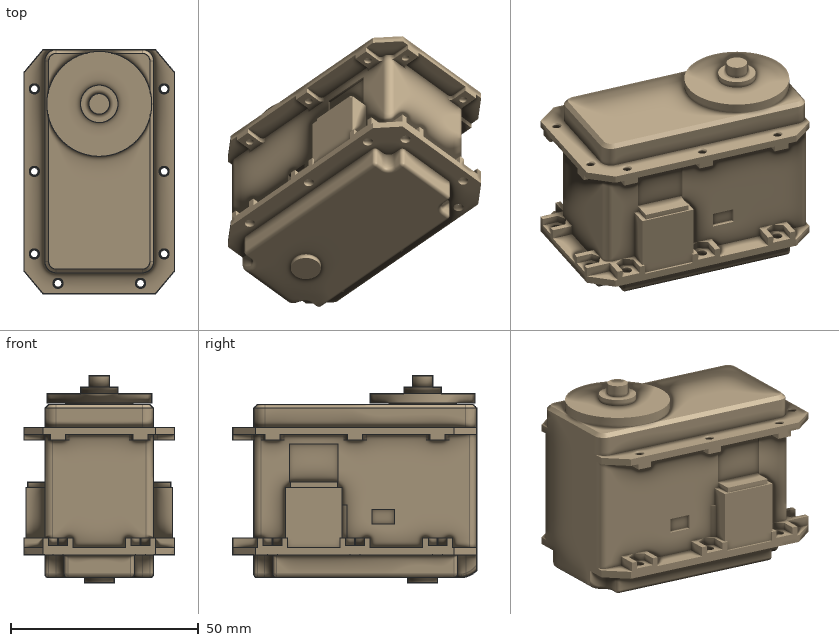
import cadquery as cq
import math


CASE_WIDTH = 29.0
CASE_BACK = 14.45
CASE_FRONT = -45.05
CASE_TOP = 46.2
BODY_CORNER_RADIUS = 2.0
LID_CORNER_RADIUS = 3.0
LID_CHAMFER = 1.0

FLANGE_WIDTH = 40.2
FLANGE_FRONT = -50.65
FLANGE_CHAMFER_X = 5.1
FLANGE_CHAMFER_Y = 6.1
LOWER_FLANGE_BOTTOM = 6.1
LOWER_FLANGE_TOP = 8.05
UPPER_FLANGE_BOTTOM = 38.2
UPPER_FLANGE_TOP = 40.1

SCREW_PITCH = 22.0
SCREW_EDGE_OFFSET = 2.8
FIRST_SIDE_SCREW_Y = 4.0
SIDE_SCREW_COUNT = 3
UPPER_HOLE_DIAMETER = 2.05
UPPER_COUNTERSINK_DIAMETER = 2.7
LOWER_HOLE_DIAMETER = 2.7

UPPER_PAD_WIDTH = 4.0
UPPER_PAD_BOTTOM = 36.7
UPPER_PAD_FILLET = 1.0
LOWER_PAD_WIDTH = 8.0
LOWER_PAD_TOP = 10.6
NUT_ACROSS_FLATS = 5.0
NUT_POCKET_FLOOR = 8.65

NOTCH_SIZE = 5.15
NOTCH_INNER_RADIUS = 2.2
NOTCH_OUTER_RADIUS = 1.0
COVER_EDGE_FILLET = 1.0
COVER_BACK_RADIUS = 6.3
COVER_BACK_START = 9.9

BOTTOM_BOSS = (8.0, -1.4, 0.0)
SHAFT_SEAT = (18.0, CASE_TOP, 46.55)
HORN_DISC = (28.0, 46.55, 49.1)
HORN_COLLAR = (10.0, 49.1, 50.8)
SHAFT_TIP = (5.5, 50.8, 53.9)

CONNECTOR_CENTER_Y = -29.0
CONNECTOR_LENGTH = 15.0
CONNECTOR_TOP = 24.1
CONNECTOR_HALF_SPAN = 19.55
INSERT_LENGTH = 12.5
INSERT_TOP = 25.5
INSERT_HALF_SPAN = 19.1
RAMP_LENGTH = 1.3
RAMP_HEIGHT = 0.75
RAMP_TOP = 19.4

LABEL_LENGTH = 13.0
LABEL_TOP = 35.6
LABEL_DEPTH = 0.7
WINDOW_CENTER_Y = -10.55
WINDOW_LENGTH = 6.0
WINDOW_BOTTOM = 14.3
WINDOW_TOP = 18.15
WINDOW_DEPTH = 1.0

CASE_HALF = CASE_WIDTH / 2
FLANGE_HALF = FLANGE_WIDTH / 2
SIDE_SCREW_X = FLANGE_HALF - SCREW_EDGE_OFFSET
FRONT_SCREW_Y = FLANGE_FRONT + SCREW_EDGE_OFFSET
SIDE_SCREWS = [
    (side * SIDE_SCREW_X, FIRST_SIDE_SCREW_Y - i * SCREW_PITCH)
    for side in (-1, 1)
    for i in range(SIDE_SCREW_COUNT)
]
FRONT_SCREWS = [(side * SCREW_PITCH / 2, FRONT_SCREW_Y) for side in (-1, 1)]
SCREWS = SIDE_SCREWS + FRONT_SCREWS
PAD_ROOT_X = CASE_HALF - BODY_CORNER_RADIUS
PAD_ROOT_Y = CASE_FRONT + BODY_CORNER_RADIUS


def box(x_range, y_range, z_range):
    """Axis-aligned block spanning the given pairs of limits."""
    (x0, x1), (y0, y1), (z0, z1) = (sorted(limits) for limits in (x_range, y_range, z_range))
    return cq.Workplane("XY").box(x1 - x0, y1 - y0, z1 - z0, centered=False).translate((x0, y0, z0))


def disc(diameter, bottom, top):
    """Cylinder on the shaft axis."""
    return cq.Workplane("XY").workplane(offset=bottom).circle(diameter / 2).extrude(top - bottom)


def case_block(bottom, top):
    """Case footprint extruded between two heights."""
    return box((-CASE_HALF, CASE_HALF), (CASE_FRONT, CASE_BACK), (bottom, top))


def make_body():
    """Middle housing between the two flanges."""
    return case_block(LOWER_FLANGE_BOTTOM, UPPER_FLANGE_TOP).edges("|Z").fillet(BODY_CORNER_RADIUS)


def make_lid():
    """Chamfered lid above the upper flange."""
    lid = case_block(UPPER_FLANGE_TOP, CASE_TOP).edges("|Z").fillet(LID_CORNER_RADIUS)
    return lid.faces(">Z").chamfer(LID_CHAMFER)


def make_cover():
    """Bottom cover with notched corners, a rounded back and a filleted lower edge."""
    cover = case_block(0, LOWER_FLANGE_BOTTOM)
    notch = box((-NOTCH_SIZE, NOTCH_SIZE), (-NOTCH_SIZE, NOTCH_SIZE), (0, LOWER_FLANGE_BOTTOM))
    notch = notch.edges("|Z").fillet(NOTCH_INNER_RADIUS)
    for x in (-CASE_HALF, CASE_HALF):
        for y in (CASE_FRONT, CASE_BACK):
            cover = cover.cut(notch.translate((x, y, 0)))
    cover = cover.edges("|Z and (<X or >X or <Y)").fillet(NOTCH_OUTER_RADIUS)

    back_run = CASE_BACK - COVER_BACK_START
    back_rise = COVER_BACK_RADIUS - math.sqrt(COVER_BACK_RADIUS**2 - back_run**2)
    side_profile = (
        cq.Workplane("YZ")
        .moveTo(CASE_FRONT, 0)
        .lineTo(COVER_BACK_START, 0)
        .tangentArcPoint((CASE_BACK, back_rise), relative=False)
        .lineTo(CASE_BACK, LOWER_FLANGE_BOTTOM)
        .lineTo(CASE_FRONT, LOWER_FLANGE_BOTTOM)
        .close()
        .extrude(CASE_HALF, both=True)
    )
    cover = cover.intersect(side_profile)
    return cover.faces("<Z").edges("not(|X and >Y)").fillet(COVER_EDGE_FILLET)


def make_flange(bottom, top):
    """Flange plate with its four corners cut off at an angle."""
    shoulder_x = FLANGE_HALF - FLANGE_CHAMFER_X
    back_y = CASE_BACK - FLANGE_CHAMFER_Y
    front_y = FLANGE_FRONT + FLANGE_CHAMFER_Y
    outline = [
        (shoulder_x, CASE_BACK),
        (FLANGE_HALF, back_y),
        (FLANGE_HALF, front_y),
        (shoulder_x, FLANGE_FRONT),
        (-shoulder_x, FLANGE_FRONT),
        (-FLANGE_HALF, front_y),
        (-FLANGE_HALF, back_y),
        (-shoulder_x, CASE_BACK),
    ]
    return cq.Workplane("XY").workplane(offset=bottom).polyline(outline).close().extrude(top - bottom)


def screw_pads(width, bottom, top):
    """Square-ended pads running from the flange edge into the case at every screw."""
    half = width / 2
    pads = cq.Workplane("XY")
    for x, y in SIDE_SCREWS:
        side = math.copysign(1, x)
        pads = pads.add(box((side * PAD_ROOT_X, side * FLANGE_HALF), (y - half, y + half), (bottom, top)))
    for x, _ in FRONT_SCREWS:
        pads = pads.add(box((x - half, x + half), (FLANGE_FRONT, PAD_ROOT_Y), (bottom, top)))
    return pads.combine()


def make_upper_pads():
    """Narrow pads under the upper flange, filleted where they meet the housing."""
    core = case_block(UPPER_PAD_BOTTOM, UPPER_FLANGE_BOTTOM).edges("|Z").fillet(BODY_CORNER_RADIUS)
    pads = core.union(screw_pads(UPPER_PAD_WIDTH, UPPER_PAD_BOTTOM, UPPER_FLANGE_BOTTOM))
    outline = pads.faces("<Z").wires().toPending()
    filleted = outline.offset2D(UPPER_PAD_FILLET).offset2D(-UPPER_PAD_FILLET)
    return filleted.extrude(UPPER_FLANGE_BOTTOM - UPPER_PAD_BOTTOM, combine=False)


def nut_pockets():
    """Hexagonal nut pockets in the lower pads, open toward the flange edge."""
    half = NUT_ACROSS_FLATS / 2
    corner = NUT_ACROSS_FLATS / math.sqrt(3)
    depth = LOWER_PAD_TOP - NUT_POCKET_FLOOR
    pocket = (
        cq.Workplane("XY")
        .moveTo(-corner, 0)
        .lineTo(-corner / 2, half)
        .lineTo(SCREW_EDGE_OFFSET, half)
        .lineTo(SCREW_EDGE_OFFSET, -half)
        .lineTo(-corner / 2, -half)
        .close()
        .extrude(depth)
    )
    pockets = cq.Workplane("XY")
    for x, y in SCREWS:
        if y == FRONT_SCREW_Y:
            angle = -90
        else:
            angle = 0 if x > 0 else 180
        pockets = pockets.add(pocket.rotate((0, 0, 0), (0, 0, 1), angle).translate((x, y, NUT_POCKET_FLOOR)))
    return pockets.combine()


def drill_screw_holes(part):
    """Countersunk holes in the upper flange and plain holes in the lower one."""
    part = part.cut(
        cq.Workplane("XY")
        .workplane(offset=LOWER_FLANGE_BOTTOM)
        .pushPoints(SCREWS)
        .circle(LOWER_HOLE_DIAMETER / 2)
        .extrude(LOWER_PAD_TOP - LOWER_FLANGE_BOTTOM)
    )
    top_radius = UPPER_COUNTERSINK_DIAMETER / 2
    hole_radius = UPPER_HOLE_DIAMETER / 2
    cone_height = top_radius - hole_radius
    hole = (
        cq.Workplane("XZ")
        .polyline(
            [
                (0, UPPER_PAD_BOTTOM),
                (hole_radius, UPPER_PAD_BOTTOM),
                (hole_radius, UPPER_FLANGE_TOP - cone_height),
                (top_radius, UPPER_FLANGE_TOP),
                (0, UPPER_FLANGE_TOP),
            ]
        )
        .close()
        .revolve(360, (0, 0, 0), (0, 1, 0))
    )
    for x, y in SCREWS:
        part = part.cut(hole.translate((x, y, 0)))
    return part


def y_span(center, length):
    """Limits of a length along Y about its centre."""
    return (center - length / 2, center + length / 2)


def make_connector():
    """Connector block with its insert and side ramp, on the +X side."""
    block_y = y_span(CONNECTOR_CENTER_Y, CONNECTOR_LENGTH)
    insert_y = y_span(CONNECTOR_CENTER_Y, INSERT_LENGTH)
    block = box((0, CONNECTOR_HALF_SPAN), block_y, (LOWER_FLANGE_BOTTOM, CONNECTOR_TOP))
    insert = box((0, INSERT_HALF_SPAN), insert_y, (CONNECTOR_TOP, INSERT_TOP))
    ramp = (
        cq.Workplane("XY")
        .workplane(offset=LOWER_FLANGE_BOTTOM)
        .moveTo(CASE_HALF, block_y[1] + RAMP_LENGTH)
        .lineTo(CASE_HALF + RAMP_HEIGHT, block_y[1])
        .lineTo(CASE_HALF, block_y[1])
        .close()
        .extrude(RAMP_TOP - LOWER_FLANGE_BOTTOM)
    )
    return block.union(insert).union(ramp)


def make_recesses():
    """Label recess and small window recess, on the +X side."""
    label_y = y_span(CONNECTOR_CENTER_Y, LABEL_LENGTH)
    window_y = y_span(WINDOW_CENTER_Y, WINDOW_LENGTH)
    label = box((CASE_HALF - LABEL_DEPTH, CASE_HALF), label_y, (INSERT_TOP, LABEL_TOP))
    window = box((CASE_HALF - WINDOW_DEPTH, CASE_HALF), window_y, (WINDOW_BOTTOM, WINDOW_TOP))
    return label.add(window).combine()


def on_both_sides(feature):
    """The feature together with its mirror image across X = 0."""
    return feature.add(feature.mirror("YZ")).combine()


part = make_body().union(make_lid()).union(make_cover())
part = part.union(make_flange(LOWER_FLANGE_BOTTOM, LOWER_FLANGE_TOP))
part = part.union(make_flange(UPPER_FLANGE_BOTTOM, UPPER_FLANGE_TOP))
part = part.union(make_upper_pads())
lower_pads = screw_pads(LOWER_PAD_WIDTH, LOWER_FLANGE_BOTTOM, LOWER_PAD_TOP)
lower_pads = lower_pads.intersect(make_flange(LOWER_FLANGE_BOTTOM, LOWER_PAD_TOP))
part = part.union(lower_pads.cut(nut_pockets()))
part = drill_screw_holes(part)

part = part.cut(on_both_sides(make_recesses()))
part = part.union(on_both_sides(make_connector()))

for diameter, bottom, top in (BOTTOM_BOSS, SHAFT_SEAT, HORN_DISC, HORN_COLLAR, SHAFT_TIP):
    part = part.union(disc(diameter, bottom, top))

result = part